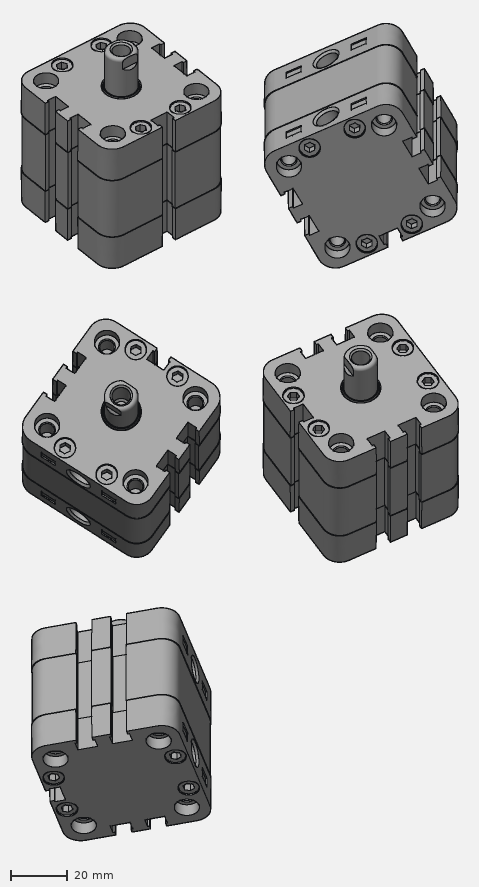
import cadquery as cq
import math

TOTAL_HEIGHT = 72.0
COVER_WIDTH = 54.8
COVER_HEIGHT = 14.5
CORNER_RADIUS = 6.8
COVER_TAPER = 0.15
BARREL_WIDTH = 54.35
BARREL_HEIGHT = 26.1

SIDE_SLOT_POSITION = 6.4
SIDE_SLOT_DEPTH = 5.5
BACK_SLOT_DEPTH = 5.75
SLOT_LIP = 1.8
COVER_NECK_WIDTH = 5.9
COVER_CHANNEL_WIDTH = 7.35
BARREL_SLOT_CLEARANCE = 0.15

PORT_DIAMETER = 8.6
PORT_RIM_DIAMETER = 10.4
PORT_INSET = 7.9
PORT_FLOOR_DIAMETER = 42.9

LABEL_LENGTH = 6.1
LABEL_HEIGHT = 3.95
LABEL_DEPTH = 0.5
LABEL_POSITION = 13.0
LABEL_INSET = 7.3

MOUNT_POSITION = 19.1
MOUNT_BORE_DIAMETER = 9.0
MOUNT_BORE_DEPTH = 5.0
MOUNT_THREAD_DIAMETER = 5.2
MOUNT_RIM_DIAMETER = 6.0

SCREW_X = 22.5
SCREW_Y = 9.0
SCREW_BORE_DIAMETER = 7.7
SCREW_HEAD_DIAMETER = 7.5
SCREW_HEAD_INSET = 0.5
SCREW_GAP_DEPTH = 1.0
SOCKET_ACROSS_FLATS = 3.7
SOCKET_DEPTH = 3.0

WIPER_RIM_DIAMETER = 14.4
WIPER_BORE_DIAMETER = 13.7
WIPER_FOOT_DIAMETER = 13.25
WIPER_TIP_DIAMETER = 12.8
WIPER_DEPTH = 2.15

ROD_DIAMETER = 12.0
ROD_EDGE_RADIUS = 1.2
ROD_FLAT_WIDTH = 10.0
ROD_FLAT_LENGTH = 4.3
ROD_THREAD_DIAMETER = 6.6
ROD_THREAD_RIM_DIAMETER = 8.0
ROD_THREAD_DEPTH = 12.0
ROD_THREAD_TIP_DIAMETER = 4.9

HALF_WIDTH = COVER_WIDTH / 2
BARREL_TOP = COVER_HEIGHT + BARREL_HEIGHT
ROD_BOTTOM = BARREL_TOP


def cylinder(diameter, bottom, top):
    return cq.Workplane("XY").workplane(offset=bottom).circle(diameter / 2).extrude(top - bottom)


def cone(bottom_diameter, top_diameter, bottom, top):
    base = cq.Vector(0, 0, bottom)
    solid = cq.Solid.makeCone(bottom_diameter / 2, top_diameter / 2, top - bottom, pnt=base)
    return cq.Workplane(solid)


def at_four_places(shape, x, y):
    """Copies of a shape mirrored over both main planes."""
    copies = cq.Workplane("XY")
    for sign_x in (-1, 1):
        for sign_y in (-1, 1):
            copies = copies.add(shape.translate((sign_x * x, sign_y * y, 0)))
    return copies.combine()


def t_slot(neck_width, channel_width, depth, height):
    """Cutter for a T-slot that opens at the -Y side and lies on X = 0."""
    neck_length = 2 * SLOT_LIP
    neck = cq.Workplane("XY").box(neck_width, neck_length, height, centered=(True, True, False))
    channel_length = depth - SLOT_LIP
    channel = cq.Workplane("XY").box(channel_width, channel_length, height, centered=(True, False, False))
    return neck.union(channel.translate((0, SLOT_LIP, 0))).translate((0, -HALF_WIDTH, 0))


def cut_t_slots(body, clearance, height):
    neck_width = COVER_NECK_WIDTH - 2 * clearance
    channel_width = COVER_CHANNEL_WIDTH - 2 * clearance
    side_slot = t_slot(neck_width, channel_width, SIDE_SLOT_DEPTH, height)
    for x in (-SIDE_SLOT_POSITION, SIDE_SLOT_POSITION):
        front_slot = side_slot.translate((x, 0, 0))
        body = body.cut(front_slot).cut(front_slot.mirror("XZ"))
    back_slot = t_slot(neck_width, channel_width, BACK_SLOT_DEPTH - clearance, height)
    return body.cut(back_slot.rotate((0, 0, 0), (0, 0, 1), 90))


def cover_block():
    """Tapered square block, wide end at Z = 0 and outer end face at COVER_HEIGHT."""
    taper_angle = math.degrees(math.atan(COVER_TAPER / COVER_HEIGHT))
    outline = cq.Sketch().rect(COVER_WIDTH, COVER_WIDTH).vertices().fillet(CORNER_RADIUS)
    block = cq.Workplane("XY").placeSketch(outline).extrude(COVER_HEIGHT, taper=taper_angle)
    return cut_t_slots(block, 0, COVER_HEIGHT)


def side_position(inset):
    """Distance of the tapered side from the main axis, at an inset from the outer end face."""
    return HALF_WIDTH - COVER_TAPER * (COVER_HEIGHT - inset) / COVER_HEIGHT


def cut_port(cover):
    rim_depth = (PORT_RIM_DIAMETER - PORT_DIAMETER) / 2
    side = side_position(PORT_INSET)
    bore = cylinder(PORT_DIAMETER, 0, HALF_WIDTH)
    rim = cone(PORT_DIAMETER, PORT_RIM_DIAMETER, side - rim_depth, side)
    mouth = cylinder(PORT_RIM_DIAMETER, side, HALF_WIDTH)
    cutter = bore.union(rim).union(mouth).rotate((0, 0, 0), (0, 1, 0), -90)
    cutter = cutter.translate((0, 0, COVER_HEIGHT - PORT_INSET))
    return cover.cut(cutter.cut(cylinder(PORT_FLOOR_DIAMETER, 0, COVER_HEIGHT)))


def cut_labels(cover):
    z = COVER_HEIGHT - LABEL_INSET
    side = side_position(LABEL_INSET)
    recess = cq.Workplane("XY").box(2 * LABEL_DEPTH, LABEL_LENGTH, LABEL_HEIGHT)
    for y in (-LABEL_POSITION, LABEL_POSITION):
        cover = cover.cut(recess.translate((-side, y, z)))
    return cover


def cut_mounting_holes(cover):
    bore_floor = COVER_HEIGHT - MOUNT_BORE_DEPTH
    rim_depth = (MOUNT_RIM_DIAMETER - MOUNT_THREAD_DIAMETER) / 2
    hole = cylinder(MOUNT_BORE_DIAMETER, bore_floor, COVER_HEIGHT)
    hole = hole.union(cone(MOUNT_THREAD_DIAMETER, MOUNT_RIM_DIAMETER, bore_floor - rim_depth, bore_floor))
    hole = hole.union(cylinder(MOUNT_THREAD_DIAMETER, 0, bore_floor))
    return cover.cut(at_four_places(hole, MOUNT_POSITION, MOUNT_POSITION))


def cut_screw_heads(cover):
    """Sunk heads with a narrow gap around them and a hexagon socket."""
    head_top = COVER_HEIGHT - SCREW_HEAD_INSET
    head = cylinder(SCREW_HEAD_DIAMETER, 0, head_top)
    recess = cylinder(SCREW_BORE_DIAMETER, COVER_HEIGHT - SCREW_GAP_DEPTH, COVER_HEIGHT).cut(head)
    socket_diameter = SOCKET_ACROSS_FLATS / math.cos(math.pi / 6)
    socket = cq.Workplane("XY").workplane(offset=head_top).polygon(6, socket_diameter).extrude(-SOCKET_DEPTH)
    recess = recess.union(socket.rotate((0, 0, 0), (0, 0, 1), 90))
    return cover.cut(at_four_places(recess, SCREW_X, SCREW_Y))


def cut_rod_bore(cover):
    """Through bore for the rod and a groove that leaves a conical wiper lip."""
    groove_floor = COVER_HEIGHT - WIPER_DEPTH
    rim_depth = (WIPER_RIM_DIAMETER - WIPER_BORE_DIAMETER) / 2
    groove = cylinder(WIPER_BORE_DIAMETER, groove_floor, COVER_HEIGHT)
    rim = cone(WIPER_BORE_DIAMETER, WIPER_RIM_DIAMETER, COVER_HEIGHT - rim_depth, COVER_HEIGHT)
    lip = cone(WIPER_FOOT_DIAMETER, WIPER_TIP_DIAMETER, groove_floor, COVER_HEIGHT)
    cover = cover.cut(groove.union(rim).cut(lip))
    return cover.cut(cylinder(ROD_DIAMETER, 0, COVER_HEIGHT))


def make_cover():
    cover = cut_labels(cut_port(cover_block()))
    return cut_screw_heads(cut_mounting_holes(cover))


def make_barrel():
    barrel = cq.Workplane("XY").box(BARREL_WIDTH, BARREL_WIDTH, BARREL_HEIGHT, centered=(True, True, False))
    barrel = barrel.edges("|Z").fillet(CORNER_RADIUS)
    return cut_t_slots(barrel, BARREL_SLOT_CLEARANCE, BARREL_HEIGHT).translate((0, 0, COVER_HEIGHT))


def make_rod():
    rod = cylinder(ROD_DIAMETER, ROD_BOTTOM, TOTAL_HEIGHT).faces(">Z").edges().fillet(ROD_EDGE_RADIUS)

    flat_x = ROD_FLAT_WIDTH / 2
    run_out = ROD_DIAMETER / 2 - flat_x
    flat_bottom = TOTAL_HEIGHT - ROD_FLAT_LENGTH
    flat = (
        cq.Workplane("XZ")
        .moveTo(flat_x, TOTAL_HEIGHT)
        .lineTo(flat_x, flat_bottom)
        .lineTo(flat_x + run_out, flat_bottom - run_out)
        .lineTo(flat_x + run_out, TOTAL_HEIGHT)
        .close()
        .extrude(ROD_DIAMETER / 2, both=True)
    )
    rod = rod.cut(flat).cut(flat.mirror("YZ"))

    rim_depth = (ROD_THREAD_RIM_DIAMETER - ROD_THREAD_DIAMETER) / 2
    tip_depth = (ROD_THREAD_DIAMETER - ROD_THREAD_TIP_DIAMETER) / 2
    thread_bottom = TOTAL_HEIGHT - ROD_THREAD_DEPTH
    rim_bottom = TOTAL_HEIGHT - rim_depth
    hole = cylinder(ROD_THREAD_DIAMETER, thread_bottom, TOTAL_HEIGHT)
    rim = cone(ROD_THREAD_DIAMETER, ROD_THREAD_RIM_DIAMETER, rim_bottom, TOTAL_HEIGHT)
    tip = cone(ROD_THREAD_TIP_DIAMETER, ROD_THREAD_DIAMETER, thread_bottom - tip_depth, thread_bottom)
    return rod.cut(hole.union(rim).union(tip))


bottom_cover = make_cover().rotate((0, 0, 0), (1, 0, 0), 180).translate((0, 0, COVER_HEIGHT))
top_cover = cut_rod_bore(make_cover()).translate((0, 0, BARREL_TOP))
barrel = make_barrel()
rod = make_rod()

bodies = [bottom_cover, barrel, top_cover, rod]
result = cq.Compound.makeCompound([body.solids().val() for body in bodies])